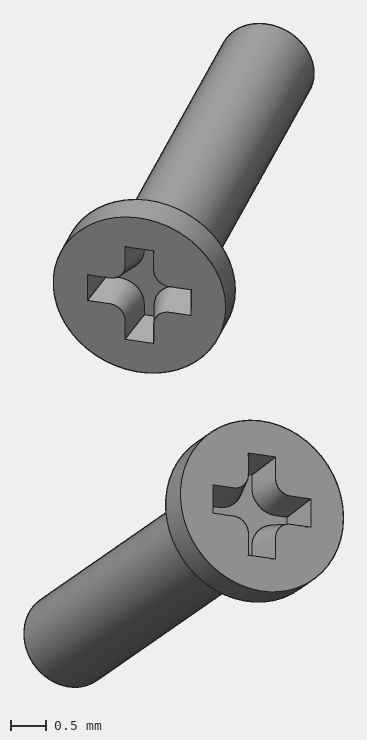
import cadquery as cq
import math

total_length = 6.5
head_diameter = 2.5
head_thickness = 0.5
shank_diameter = 1.38

recess_span = 1.5
recess_width = 0.415
recess_corner_radius = 0.23
recess_depth = head_thickness
recess_inset = 0.135


def along_axis(diameter, start, length):
    """Cylinder on the Y axis, running towards +Y from start."""
    return (
        cq.Workplane("XZ", origin=(0, start, 0))
        .circle(diameter / 2)
        .extrude(-length)
    )


def cross_outline(inset, y):
    """Cross with rounded inner corners, its walls moved inwards by inset."""
    reach = recess_span / 2 - inset
    half_width = recess_width / 2 - inset
    radius = recess_corner_radius + inset
    arc_end = half_width + radius
    arc_middle = arc_end - radius * math.sqrt(0.5)

    def turned(point, quarter):
        x, z = point
        for _ in range(quarter):
            x, z = -z, x
        return x, z

    outline = cq.Workplane("XZ", origin=(0, y, 0)).moveTo(reach, -half_width)
    for quarter in range(4):
        outline = (
            outline.lineTo(*turned((reach, half_width), quarter))
            .lineTo(*turned((arc_end, half_width), quarter))
            .threePointArc(
                turned((arc_middle, arc_middle), quarter),
                turned((half_width, arc_end), quarter),
            )
        )
        if quarter < 3:
            outline = outline.lineTo(*turned((reach, -half_width), quarter + 1))
    return outline.close().val()


face_y = -total_length / 2
head = along_axis(head_diameter, face_y, head_thickness)
shank = along_axis(shank_diameter, face_y + head_thickness, total_length - head_thickness)

recess = cq.Solid.makeLoft(
    [cross_outline(0, face_y), cross_outline(recess_inset, face_y + recess_depth)],
    True,
)

result = head.union(shank).cut(cq.Workplane(obj=recess))